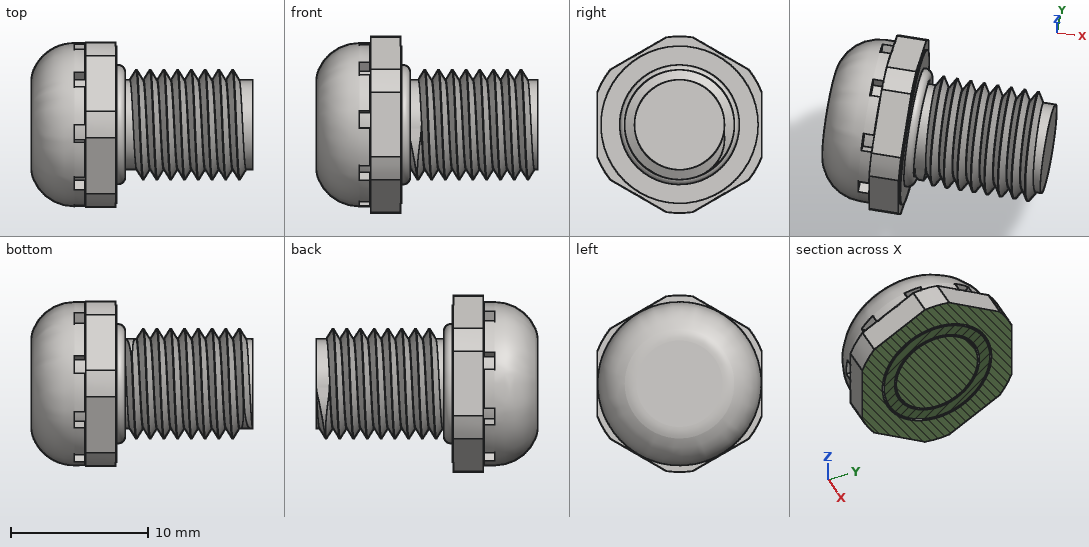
import cadquery as cq
import math

LENGTH = 16.16

CAP_DIAMETER = 11.93
CAP_FACE_DIAMETER = 6.3
FACE_ROUNDING = 2.15
DOME_END = 3.15
TAB_END = 3.93
VENT_COUNT = 9
VENT_ANGLE = 12.5
VENT_OFFSET = 3.7

COLLAR_DIAMETER = 10.2
HEX_START = 3.98
HEX_END = 6.15
HEX_FLATS = 12.0
HEX_CORNER_DIAMETER = 12.9
FLANGE_DIAMETER = 11.45
FLANGE_END = 6.25

SHANK_DIAMETER = 6.56

RING_CENTRE_DIAMETER = 7.65
RING_END = 6.87
CORD_RADIUS = (RING_CENTRE_DIAMETER - SHANK_DIAMETER) / 2

THREAD_DIAMETER = 8.0
THREAD_PITCH = 1.0
THREAD_TURNS = 8
THREAD_START = 7.42
THREAD_ROOT_WIDTH = 0.95
THREAD_CREST_WIDTH = 0.06
THREAD_EMBED = 0.06
RUNOUT_ANGLE = 88
RUNOUT_FLAT = 0.99
RUNOUT_EMBED = 0.02


def disc(diameter, start, end):
    """Cylinder on the X axis between two X positions."""
    return cq.Workplane("YZ", origin=(start, 0, 0)).circle(diameter / 2).extrude(end - start)


def polar(radius, degrees):
    angle = math.radians(degrees)
    return (radius * math.cos(angle), radius * math.sin(angle))


def make_vent(index):
    """Wedge that separates two neighbouring tabs."""
    centre = 180 - VENT_OFFSET - index * 360 / VENT_COUNT
    outside = CAP_DIAMETER
    return (
        cq.Workplane("YZ", origin=(DOME_END, 0, 0))
        .moveTo(0, 0)
        .lineTo(*polar(outside, centre - VENT_ANGLE / 2))
        .lineTo(*polar(outside, centre + VENT_ANGLE / 2))
        .close()
        .extrude(TAB_END - DOME_END)
    )


def make_dome():
    """Revolved dome whose arc runs smoothly into the rounding around its flat face."""
    rim = CAP_DIAMETER / 2
    face = CAP_FACE_DIAMETER / 2
    centre_x = DOME_END - FACE_ROUNDING
    step = rim - face
    dome_radius = (step**2 + centre_x**2 - FACE_ROUNDING**2) / (2 * (step - FACE_ROUNDING))
    dome_centre = rim - dome_radius
    contact_angle = math.atan2(face - dome_centre, centre_x)
    contact_x = DOME_END - dome_radius * math.cos(contact_angle)
    contact_radius = dome_centre + dome_radius * math.sin(contact_angle)
    return (
        cq.Workplane("XY")
        .moveTo(0, 0)
        .lineTo(0, face)
        .radiusArc((contact_x, contact_radius), FACE_ROUNDING)
        .radiusArc((DOME_END, rim), dome_radius)
        .lineTo(DOME_END, 0)
        .close()
        .revolve(360, (0, 0, 0), (1, 0, 0))
    )


def make_cap():
    tabs = disc(CAP_DIAMETER, DOME_END, TAB_END).cut(disc(COLLAR_DIAMETER, DOME_END, TAB_END))
    for index in range(VENT_COUNT):
        tabs = tabs.cut(make_vent(index))
    return make_dome().union(tabs)


def make_hexagon():
    """Hexagon with flats on +Y and -Y and its corners turned to a cylinder."""
    corner_to_corner = HEX_FLATS / math.cos(math.radians(30))
    prism = (
        cq.Workplane("YZ", origin=(HEX_START, 0, 0))
        .transformed(rotate=(0, 0, 30))
        .polygon(6, corner_to_corner)
        .extrude(HEX_END - HEX_START)
    )
    return prism.intersect(disc(HEX_CORNER_DIAMETER, HEX_START, HEX_END))


def make_runout_cutter():
    """Block, on the Z axis, that trims a thread end to a rise from the shank on -Y.

    The rise is a flat that emerges from the shank and an arc that runs into the crest.
    """
    root = SHANK_DIAMETER / 2
    crest = THREAD_DIAMETER / 2
    outside = THREAD_DIAMETER
    arc_radius = (crest**2 - root**2 - RUNOUT_FLAT**2) / (2 * (crest - root))
    crest_angle = math.degrees(math.atan2(arc_radius - root, RUNOUT_FLAT))
    crest_x, crest_y = polar(crest, crest_angle)
    return (
        cq.Workplane("XY")
        .moveTo(0, RUNOUT_EMBED - root)
        .lineTo(RUNOUT_FLAT, -root)
        .tangentArcPoint((crest_x, crest_y), relative=False)
        .lineTo(outside, crest_y)
        .lineTo(outside, -outside)
        .lineTo(0, -outside)
        .close()
        .extrude(THREAD_PITCH)
    )


def make_ridge(length):
    """Thread ridge of constant section around Z, its faces spanned between helical edges."""
    root = SHANK_DIAMETER / 2
    crest = THREAD_DIAMETER / 2
    half_root = THREAD_ROOT_WIDTH / 2
    half_crest = THREAD_CREST_WIDTH / 2
    section = [
        (root - THREAD_EMBED, -half_root),
        (root, -half_root),
        (crest, -half_crest),
        (crest, half_crest),
        (root, half_root),
        (root - THREAD_EMBED, half_root),
    ]
    edges = [
        cq.Wire.makeHelix(THREAD_PITCH, length, radius).translate(cq.Vector(0, 0, z))
        for radius, z in section
    ]
    faces = []
    for edge, next_edge in zip(edges, edges[1:] + edges[:1]):
        faces.extend(cq.Face.makeRuledSurface(edge, next_edge).Faces())
    for end_points in ([e.startPoint() for e in edges], [e.endPoint() for e in edges]):
        faces.append(cq.Face.makeFromWires(cq.Wire.makePolygon(end_points, close=True)))
    return cq.Workplane(obj=cq.Solid.makeSolid(cq.Shell.makeShell(faces)))


def make_thread():
    """Right-handed thread around Z with its first full crest level with the origin, on +X."""
    length = THREAD_TURNS * THREAD_PITCH
    runout_length = THREAD_PITCH * RUNOUT_ANGLE / 360
    ridge = (
        make_ridge(length + 2 * runout_length)
        .rotate((0, 0, 0), (0, 0, 1), -RUNOUT_ANGLE)
        .translate((0, 0, -runout_length))
    )
    start_cutter = make_runout_cutter().translate(
        (0, 0, THREAD_ROOT_WIDTH / 2 - runout_length - THREAD_PITCH)
    )
    end_cutter = start_cutter.rotate((0, 0, 0), (1, 0, 0), 180).translate((0, 0, length))
    return ridge.cut(start_cutter).cut(end_cutter)


def make_ring_groove():
    groove_start = RING_END - 2 * CORD_RADIUS
    groove_diameter = RING_CENTRE_DIAMETER + 2 * CORD_RADIUS
    return disc(groove_diameter, groove_start, FLANGE_END).cut(
        disc(SHANK_DIAMETER, groove_start, FLANGE_END)
    )


def make_screw():
    thread = (
        make_thread()
        .rotate((0, 0, 0), (0, 1, 0), 90)
        .translate((THREAD_START, 0, 0))
        .cut(disc(THREAD_DIAMETER, HEX_END, RING_END))
    )
    return (
        make_hexagon()
        .union(disc(COLLAR_DIAMETER, DOME_END, HEX_START))
        .union(disc(FLANGE_DIAMETER, HEX_END, FLANGE_END))
        .cut(make_ring_groove())
        .union(disc(SHANK_DIAMETER, FLANGE_END, LENGTH))
        .union(thread)
    )


def make_ring():
    return (
        cq.Workplane("XY")
        .center(RING_END - CORD_RADIUS, RING_CENTRE_DIAMETER / 2)
        .circle(CORD_RADIUS)
        .revolve(360, (0, -RING_CENTRE_DIAMETER / 2, 0), (1, -RING_CENTRE_DIAMETER / 2, 0))
    )


cap = make_cap()
screw = make_screw()
ring = make_ring()

result = cq.Compound.makeCompound([cap.val(), screw.val(), ring.val()])